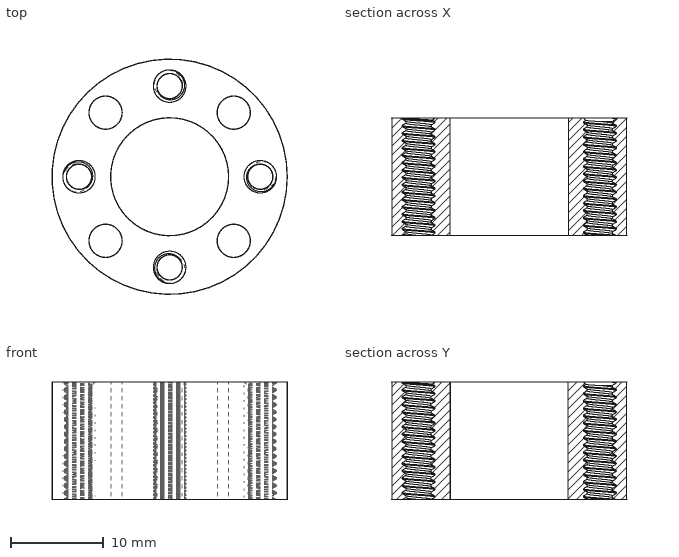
import cadquery as cq
import math

outer_diameter = 25.4
bore_diameter = outer_diameter / 2
height = outer_diameter / 2

hole_circle_radius = 9.78
holes_per_set = 4
hole_step_angle = 360 / holes_per_set
plain_hole_diameter = 3.55

major_radius = 3.5 / 2
minor_radius = 2.7 / 2
thread_depth = major_radius - minor_radius
turns_in_height = 16
thread_pitch = height / turns_in_height
groove_root_width = thread_pitch / 8
flank_angle = math.radians(30)
thread_start_angle = 35.0

countersink_depth = thread_depth

groove_overlap = 0.08
groove_overrun = thread_pitch
drill_overrun = 2 * thread_pitch
countersink_overrun = thread_depth


def ring():
    return (
        cq.Workplane("XY")
        .circle(outer_diameter / 2)
        .circle(bore_diameter / 2)
        .extrude(height)
    )


def plain_hole():
    return cq.Workplane("XY").circle(plain_hole_diameter / 2).extrude(height)


def thread_groove():
    """Helical V-groove that reaches into the drilled hole and runs past both faces."""
    inner_radius = minor_radius - groove_overlap
    half_root = groove_root_width / 2
    half_mouth = half_root + (major_radius - inner_radius) * math.tan(flank_angle)
    profile = (
        cq.Workplane("XZ")
        .polyline([
            (inner_radius, -half_mouth),
            (major_radius, -half_root),
            (major_radius, half_root),
            (inner_radius, half_mouth),
        ])
        .close()
    )
    helix = cq.Wire.makeHelix(thread_pitch, height + 2 * groove_overrun, minor_radius)
    groove = profile.sweep(cq.Workplane(obj=helix), isFrenet=True)
    return groove.translate((0, 0, -groove_overrun))


def threaded_hole():
    """Drilled through hole joined with its thread groove."""
    drill = (
        cq.Workplane("XY", origin=(0, 0, -drill_overrun))
        .circle(minor_radius)
        .extrude(height + 2 * drill_overrun)
    )
    return drill.union(thread_groove()).rotate((0, 0, 0), (0, 0, 1), thread_start_angle)


def countersink():
    """Cone that meets the top face at the major diameter and extends past both its ends."""
    cone_depth = countersink_depth + countersink_overrun
    cone = cq.Solid.makeCone(
        major_radius - cone_depth,
        major_radius + countersink_overrun,
        cone_depth + countersink_overrun,
        pnt=cq.Vector(0, 0, height - cone_depth),
    )
    return cq.Workplane(obj=cone)


def cut_around(body, cutter, first_angle):
    """Cut copies of a cutter at equal steps around the pitch circle."""
    placed = cutter.translate((hole_circle_radius, 0, 0))
    for index in range(holes_per_set):
        angle = first_angle + index * hole_step_angle
        body = body.cut(placed.rotate((0, 0, 0), (0, 0, 1), angle))
    return body


result = ring()
result = cut_around(result, plain_hole(), hole_step_angle / 2)
result = cut_around(result, threaded_hole(), 0)
result = cut_around(result, countersink(), 0)